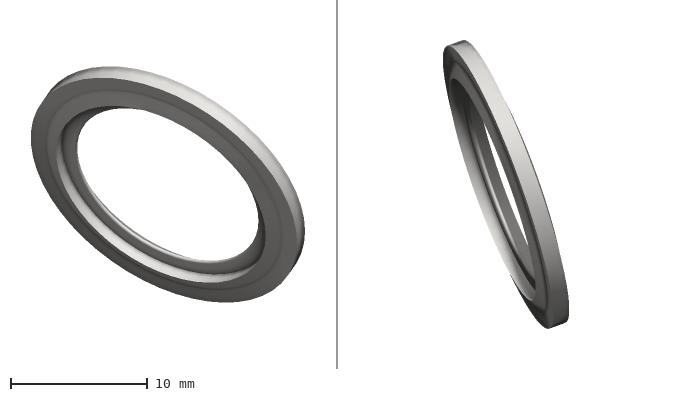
import cadquery as cq


washer_radius = 10.98
joint_radius = 9.72
washer_thickness = 1.25

seal_thickness = 2.15
lip_radius = 8.63
web_thickness = 0.33
bore_radius = 7.48

half_washer = washer_thickness / 2
half_seal = seal_thickness / 2
half_web = web_thickness / 2
web_edge_radius = bore_radius + half_web


def revolve_about_y(outline):
    """Turn a closed outline, with X as the radius, about the Y axis."""
    return outline.revolve(360, (0, 0, 0), (0, 1, 0))


def make_washer():
    outline = (
        cq.Workplane("XY")
        .moveTo(joint_radius, -half_washer)
        .lineTo(washer_radius, -half_washer)
        .lineTo(washer_radius, half_washer)
        .lineTo(joint_radius, half_washer)
        .close()
    )
    return revolve_about_y(outline)


def make_seal():
    """Sealing lips with sloping outer flanks, joined to a thin web with a half-round inner edge."""
    outline = (
        cq.Workplane("XY")
        .moveTo(web_edge_radius, half_web)
        .lineTo(lip_radius, half_web)
        .lineTo(lip_radius, half_seal)
        .lineTo(joint_radius, half_washer)
        .lineTo(joint_radius, -half_washer)
        .lineTo(lip_radius, -half_seal)
        .lineTo(lip_radius, -half_web)
        .lineTo(web_edge_radius, -half_web)
        .threePointArc((bore_radius, 0), (web_edge_radius, half_web))
        .close()
    )
    return revolve_about_y(outline)


washer = make_washer()
seal = make_seal()

result = cq.Compound.makeCompound([washer.val(), seal.val()])